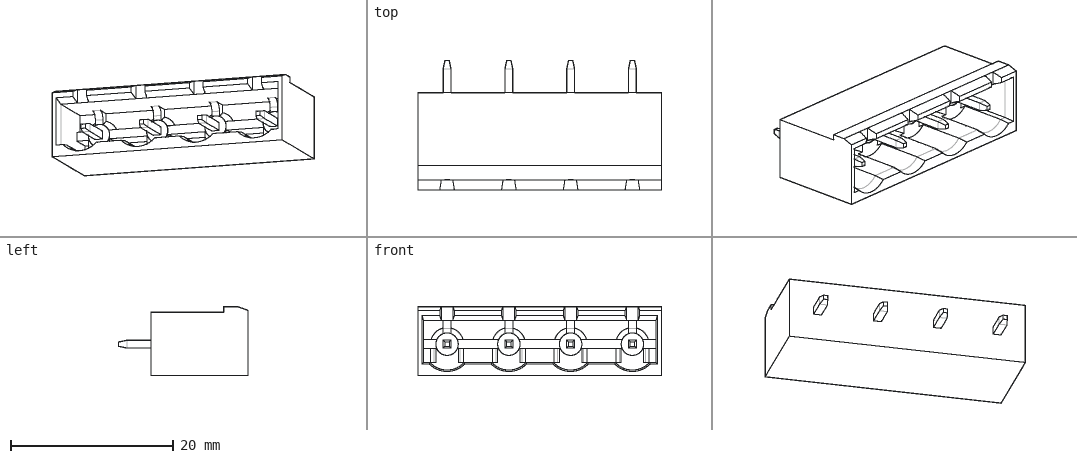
import cadquery as cq

width = 30.05
depth = 12.0
body_height = 7.82
front_height = 8.5
band_depth = 3.0
bevel_depth = 1.25
bevel_drop = 0.45

pole_count = 4
end_margin = 3.6
pitch = (width - 2 * end_margin) / (pole_count - 1)
pole_positions = [end_margin - width / 2 + i * pitch for i in range(pole_count)]
pin_height = 3.88

cavity_side = 0.7
cavity_floor = 1.62
cavity_ceiling = 6.82
mouth_side = 0.55
mouth_floor = 1.45
mouth_ceiling = 7.4

relief_y = 7.2
rail_low = 3.37
rail_high = 4.48
hub_depth = 1.2
wall_y = relief_y + hub_depth
lower_wall_y = 10.3
seat_radius = 1.38
seat_raise = 0.1
block_half_width = 2.05
block_bend_half_width = 1.6
block_front_half_width = 1.38
block_bend_y = 8.87
hub_radius = block_half_width
rib_width = 1.0
rib_fillet = 1.0

channel_height = 3.55
channel_radius = 2.85
channel_mouth_radius = 3.05

notch_mouth_width = 1.8
notch_back_width = 1.4

pin_side = 1.0
pin_tip_side = 0.55
pin_taper = 1.05
pin_front_y = 1.32
pin_back_y = 16.0


def plane_at(x, y, z):
    """Sketch plane facing +Y with local x along X and local y along -Z."""
    return cq.Plane(origin=(x, y, z), xDir=(1, 0, 0), normal=(0, 1, 0))


def box(x_low, x_high, y_low, y_high, z_low, z_high):
    size = (x_high - x_low, y_high - y_low, z_high - z_low)
    return cq.Workplane("XY").box(*size, centered=False).translate((x_low, y_low, z_low))


def rectangle_loft(x, z, y_start, size_start, y_end, size_end, z_end=None):
    """Loft along Y between two (width, height) rectangles; z_end moves the centre of the second."""
    rise = 0 if z_end is None else z_end - z
    return (
        cq.Workplane(plane_at(x, y_start, z))
        .rect(*size_start)
        .workplane(offset=y_end - y_start)
        .center(0, -rise)
        .rect(*size_end)
        .loft(combine=True)
    )


def round_loft(x, z, y_start, radius_start, y_end, radius_end):
    return (
        cq.Workplane(plane_at(x, y_start, z))
        .circle(radius_start)
        .workplane(offset=y_end - y_start)
        .circle(radius_end)
        .loft(combine=True)
    )


def make_shell():
    profile = [
        (0, 0),
        (depth, 0),
        (depth, body_height),
        (band_depth, body_height),
        (band_depth, front_height),
        (bevel_depth, front_height),
        (0, front_height - bevel_drop),
    ]
    return cq.Workplane("YZ").polyline(profile).close().extrude(width / 2, both=True)


def make_cavity():
    half = width / 2 - cavity_side
    straight = box(-half, half, 0, wall_y, cavity_floor, cavity_ceiling)
    lower = box(-half, half, 0, lower_wall_y, cavity_floor, rail_low)
    lead_in = rectangle_loft(
        0, (mouth_floor + mouth_ceiling) / 2,
        0, (width - 2 * mouth_side, mouth_ceiling - mouth_floor),
        bevel_depth, (2 * half, cavity_ceiling - cavity_floor),
        (cavity_floor + cavity_ceiling) / 2,
    )
    return straight.union(lower).union(lead_in)


def make_channel(x):
    straight = cq.Workplane(plane_at(x, 0, channel_height)).circle(channel_radius).extrude(relief_y)
    return straight.union(
        round_loft(x, channel_height, 0, channel_mouth_radius, bevel_depth, channel_radius)
    )


def make_notch(x):
    half_mouth = notch_mouth_width / 2
    half_back = notch_back_width / 2
    outline = [(-half_mouth, 0), (half_mouth, 0), (half_back, bevel_depth), (-half_back, bevel_depth)]
    return (
        cq.Workplane("XY", origin=(x, 0, cavity_ceiling))
        .polyline(outline)
        .close()
        .extrude(front_height - cavity_ceiling)
    )


def make_rail():
    """Ridge running the whole width of the back wall."""
    half = width / 2 - cavity_side
    return box(-half, half, relief_y, wall_y, rail_low, rail_high)


def make_block(x):
    """Block between floor and rail whose sides taper towards the front in two steps."""
    outline = [
        (-block_half_width, lower_wall_y),
        (-block_bend_half_width, block_bend_y),
        (-block_front_half_width, relief_y),
        (block_front_half_width, relief_y),
        (block_bend_half_width, block_bend_y),
        (block_half_width, lower_wall_y),
    ]
    return (
        cq.Workplane("XY", origin=(x, 0, cavity_floor))
        .polyline(outline)
        .close()
        .extrude(rail_low - cavity_floor)
    )


def make_seat(x):
    """Conical hub around the pin, cut off below the rail, with a raised disc on top."""
    hub = round_loft(x, pin_height, relief_y, seat_radius, wall_y, hub_radius)
    hub = hub.intersect(
        box(x - pitch / 2, x + pitch / 2, relief_y, wall_y, rail_low, cavity_ceiling)
    )
    disc = (
        cq.Workplane(plane_at(x, relief_y - seat_raise, pin_height))
        .circle(seat_radius)
        .extrude(seat_raise + hub_depth)
    )
    return hub.union(disc)


def make_rib(x):
    """Upright rib from the hub to the ceiling, flowing into the ceiling in a round."""
    return (
        cq.Workplane("YZ", origin=(x, 0, 0))
        .moveTo(wall_y, pin_height)
        .lineTo(relief_y, pin_height)
        .lineTo(relief_y, cavity_ceiling - rib_fillet)
        .radiusArc((relief_y - rib_fillet, cavity_ceiling), -rib_fillet)
        .lineTo(wall_y, cavity_ceiling)
        .close()
        .extrude(rib_width / 2, both=True)
    )


def make_pin(x):
    front_shoulder = pin_front_y + pin_taper
    back_shoulder = pin_back_y - pin_taper
    half = pin_side / 2
    full = (pin_side, pin_side)
    tip = (pin_tip_side, pin_tip_side)
    shank = box(x - half, x + half, front_shoulder, back_shoulder, pin_height - half, pin_height + half)
    front_tip = rectangle_loft(x, pin_height, pin_front_y, tip, front_shoulder, full)
    back_tip = rectangle_loft(x, pin_height, back_shoulder, full, pin_back_y, tip)
    return shank.union(front_tip).union(back_tip)


result = make_shell().cut(make_cavity())
for pole_x in pole_positions:
    result = result.cut(make_channel(pole_x)).cut(make_notch(pole_x))

result = result.union(make_rail())
for pole_x in pole_positions:
    for make_feature in (make_block, make_seat, make_rib, make_pin):
        result = result.union(make_feature(pole_x))